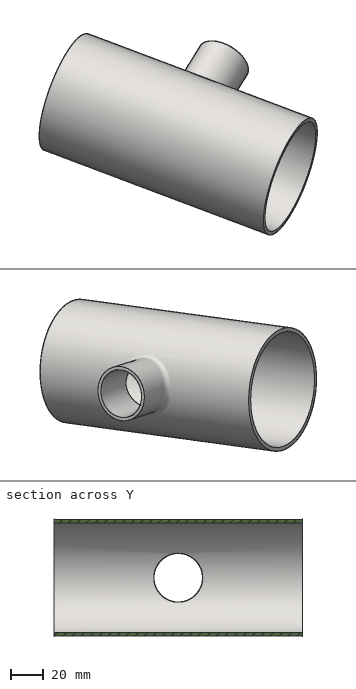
import cadquery as cq

run_length = 152.0
run_outer_diameter = 76.2
run_bore_diameter = 71.5

branch_outer_diameter = 33.7
branch_bore_diameter = 29.6
overall_depth = 102.0
branch_reach = overall_depth - run_outer_diameter / 2

joint_fillet = 3.0


def run_cylinder(diameter):
    """Full-length cylinder on the run axis."""
    return cq.Workplane("YZ").circle(diameter / 2).extrude(run_length / 2, both=True)


def branch_cylinder(diameter):
    """Cylinder from the run axis to the branch end."""
    return cq.Workplane("XZ").circle(diameter / 2).extrude(-branch_reach)


body = run_cylinder(run_outer_diameter).union(branch_cylinder(branch_outer_diameter))
joint_edges = body.edges("not (%LINE or %CIRCLE)")
body = joint_edges.fillet(joint_fillet)

result = body.cut(run_cylinder(run_bore_diameter)).cut(branch_cylinder(branch_bore_diameter))